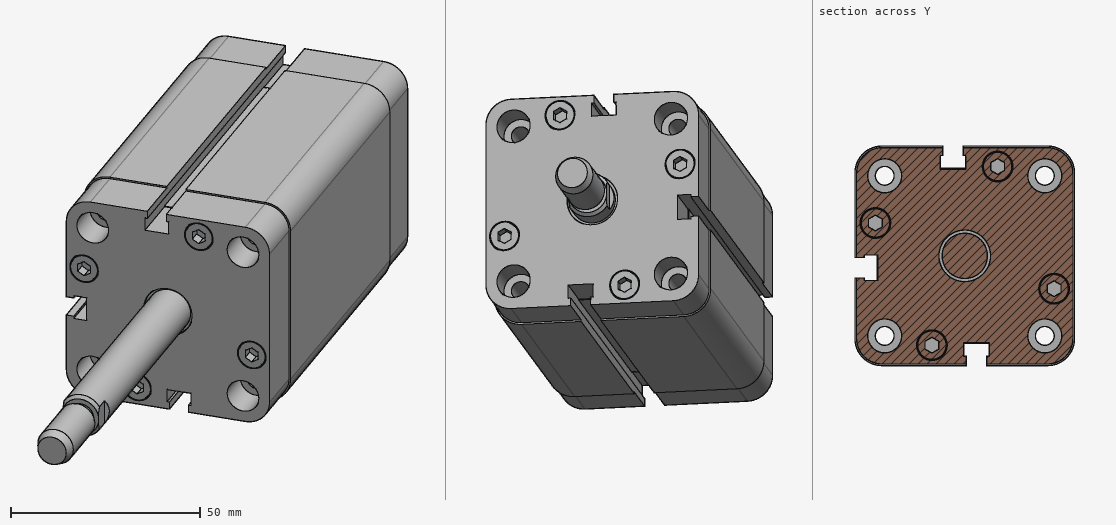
import cadquery as cq
import math


tube_side = 58.0
cap_side = 57.2
corner_center = 21.8
housing_front = -22.7
housing_back = 83.0
cap_length = 15.0
housing_length = housing_back - housing_front
tube_length = housing_length - 2 * cap_length

slot_offset = 3.1
slot_neck_width = 5.3
slot_width = 6.7
slot_floor = 23.1
cap_floor_step = 0.2
slot_lip = 26.5
slot_angles = (0, 90, 180)

mount_spacing = 42.3
mount_hole_diameter = 5.0
mount_counterbore_diameter = 9.0
mount_counterbore_depth = 10.0

screw_angles = (0, 90, 180, 270)
screw_x = 8.7
screw_z = 23.5
screw_head_diameter = 7.5
screw_hole_diameter = 8.0
screw_gap_depth = 1.1
socket_flats = 3.5
socket_depth = 3.3

rod_diameter = 12.0
stud_diameter = 10.0
neck_diameter = 7.5
tip_diameter = 8.0
total_length = 222.5
rod_length = 179.0
rod_chamfer = 1.0
neck_length = 2.0
neck_taper = 0.7
tip_taper = 2.7
flat_spacing = 10.0
flat_length = 4.7
bearing_diameter = 13.5
bearing_recess = 1.1


def front_plane(y):
    """Sketch plane across the rod axis at y: local axes are X and Z, negative extrusions go to +Y."""
    return cq.Workplane(cq.Plane(origin=(0, y, 0), xDir=(1, 0, 0), normal=(0, -1, 0)))


def rounded_square(side, front, length):
    corner_radius = side / 2 - corner_center
    return front_plane(front).rect(side, side).extrude(-length).edges("|Y").fillet(corner_radius)


def turn(shape, angle):
    """Rotate about the rod axis, counterclockwise from the front."""
    return shape.rotate((0, 0, 0), (0, -1, 0), angle)


def make_slot(front, length, outside, floor, angle):
    """T-slot cutter, open at the given distance of the outer face from the rod axis."""
    half_neck = slot_neck_width / 2
    half_slot = slot_width / 2
    right_side = [
        (half_slot, floor),
        (half_slot, slot_lip),
        (half_neck, slot_lip),
        (half_neck, outside),
    ]
    left_side = [(-x, z) for x, z in reversed(right_side)]
    cutter = (
        front_plane(front)
        .center(-slot_offset, 0)
        .polyline(right_side + left_side)
        .close()
        .extrude(-length)
    )
    return turn(cutter, angle)


def make_mount_holes():
    holes = (
        front_plane(housing_front)
        .rect(mount_spacing, mount_spacing, forConstruction=True)
        .vertices()
        .circle(mount_hole_diameter / 2)
        .extrude(-housing_length)
    )
    for start in (housing_front, housing_back - mount_counterbore_depth):
        counterbores = (
            front_plane(start)
            .rect(mount_spacing, mount_spacing, forConstruction=True)
            .vertices()
            .circle(mount_counterbore_diameter / 2)
            .extrude(-mount_counterbore_depth)
        )
        holes = holes.union(counterbores)
    return holes


def make_screw(front, angle):
    """Cutter that leaves a flush screw head: a narrow ring and a hexagon socket, its corners along Z."""
    ring = (
        front_plane(front)
        .center(screw_x, screw_z)
        .circle(screw_hole_diameter / 2)
        .circle(screw_head_diameter / 2)
        .extrude(-screw_gap_depth)
    )
    socket_corners = socket_flats / math.cos(math.pi / 6)
    socket = (
        front_plane(front)
        .center(screw_x, screw_z)
        .transformed(rotate=(0, 0, 90))
        .polygon(6, socket_corners)
        .extrude(-socket_depth)
        .rotate((screw_x, 0, screw_z), (screw_x, -1, screw_z), -angle)
    )
    return turn(ring.union(socket), angle)


def make_section(side, front, length, floor):
    """Slotted length of the housing: the tube or one of the end caps."""
    section = rounded_square(side, front, length)
    for angle in slot_angles:
        section = section.cut(make_slot(front, length, side / 2, floor, angle))
    return section


def make_housing():
    tube_front = housing_front + cap_length
    tube_back = housing_back - cap_length
    housing = make_section(tube_side, tube_front, tube_length, slot_floor)
    for front in (housing_front, tube_back):
        cap = make_section(cap_side, front, cap_length, slot_floor - cap_floor_step)
        housing = housing.union(cap)
    housing = housing.cut(make_mount_holes())

    middle = (housing_front + housing_back) / 2
    for angle in screw_angles:
        screw = make_screw(housing_front, angle)
        housing = housing.cut(screw)
        housing = housing.cut(screw.mirror("XZ", (0, middle, 0)))

    for start in (housing_front, housing_back - bearing_recess):
        gap = front_plane(start).circle(bearing_diameter / 2).extrude(-bearing_recess)
        housing = housing.cut(gap)
    return housing


def make_half_rod():
    """Front half of the rod, from the origin to the tip at -Y."""
    rod_end = rod_length / 2
    tip = total_length / 2
    neck_end = rod_end + neck_length
    rod_radius = rod_diameter / 2
    stud_radius = stud_diameter / 2
    neck_radius = neck_diameter / 2
    half = (
        cq.Workplane("XY")
        .moveTo(0, 0)
        .lineTo(rod_radius, 0)
        .lineTo(rod_radius, -(rod_end - rod_chamfer))
        .lineTo(rod_radius - rod_chamfer, -rod_end)
        .lineTo(neck_radius, -rod_end)
        .lineTo(neck_radius, -neck_end)
        .lineTo(stud_radius, -(neck_end + neck_taper))
        .lineTo(stud_radius, -(tip - tip_taper))
        .lineTo(tip_diameter / 2, -tip)
        .lineTo(0, -tip)
        .close()
        .revolve(360, (0, 0, 0), (0, 1, 0))
    )
    flat = flat_spacing / 2
    flat_depth = rod_radius - flat
    flat_start = rod_end - flat_length
    flat_cut = (
        cq.Workplane("XY")
        .moveTo(flat, -rod_end)
        .lineTo(flat, -flat_start)
        .lineTo(rod_radius, -(flat_start - flat_depth))
        .lineTo(rod_radius, -rod_end)
        .close()
        .extrude(rod_radius, both=True)
    )
    return half.cut(flat_cut).cut(flat_cut.mirror("YZ"))


half_rod = make_half_rod()
rod = half_rod.union(half_rod.mirror("XZ"))
result = make_housing().union(rod)